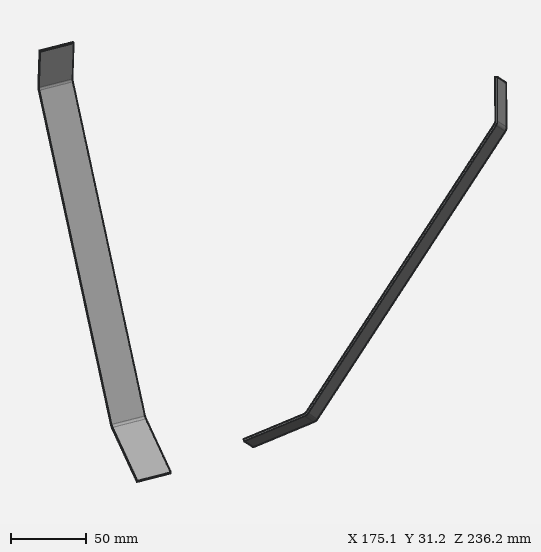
import cadquery as cq
import math

right_angle = 90.0

width = 24.24
thickness = 1.6
inner_bend_radius = 3.4
outer_bend_radius = inner_bend_radius + thickness

flange_length = 31.28
web_length = 230.24
foot_length = 45.65

flange_slope = right_angle
web_slope = 55.16
foot_slope = 19.6

lean_angle = 1.684


def step(start, slope, length):
    """Point reached from start by travelling length down the given slope."""
    angle = math.radians(slope)
    return (start[0] + length * math.cos(angle), start[1] - length * math.sin(angle))


def inner_corner(corner, slope_before, slope_after):
    """Corner of the inner face that lies opposite a sharp corner of the outer face."""
    half_bend = math.radians(slope_before - slope_after) / 2
    mitre_normal = (slope_before + slope_after) / 2 - right_angle
    return step(corner, mitre_normal, thickness / math.cos(half_bend))


def round_bends(strip, corners, radius):
    """Fillet the Y-direction edges that pass through the given profile corners."""
    for x, z in corners:
        bend_edge = cq.selectors.NearestToPointSelector((x, 0, z))
        strip = strip.edges("|Y").edges(bend_edge).fillet(radius)
    return strip


def make_strip():
    """Bent strip of constant thickness, extruded symmetrically along Y."""
    outer_top = (0.0, 0.0)
    outer_upper = step(outer_top, flange_slope, flange_length)
    outer_lower = step(outer_upper, web_slope, web_length)
    outer_end = step(outer_lower, foot_slope, foot_length)

    inner_end = step(outer_end, foot_slope - right_angle, thickness)
    inner_lower = inner_corner(outer_lower, web_slope, foot_slope)
    inner_upper = inner_corner(outer_upper, flange_slope, web_slope)
    inner_top = step(outer_top, flange_slope - right_angle, thickness)

    outline = [
        outer_top, outer_upper, outer_lower, outer_end,
        inner_end, inner_lower, inner_upper, inner_top,
    ]
    strip = cq.Workplane("XZ").polyline(outline).close().extrude(width / 2, both=True)
    strip = round_bends(strip, [outer_upper, outer_lower], outer_bend_radius)
    return round_bends(strip, [inner_upper, inner_lower], inner_bend_radius)


result = make_strip().rotate((0, 0, 0), (1, 0, 0), -lean_angle)